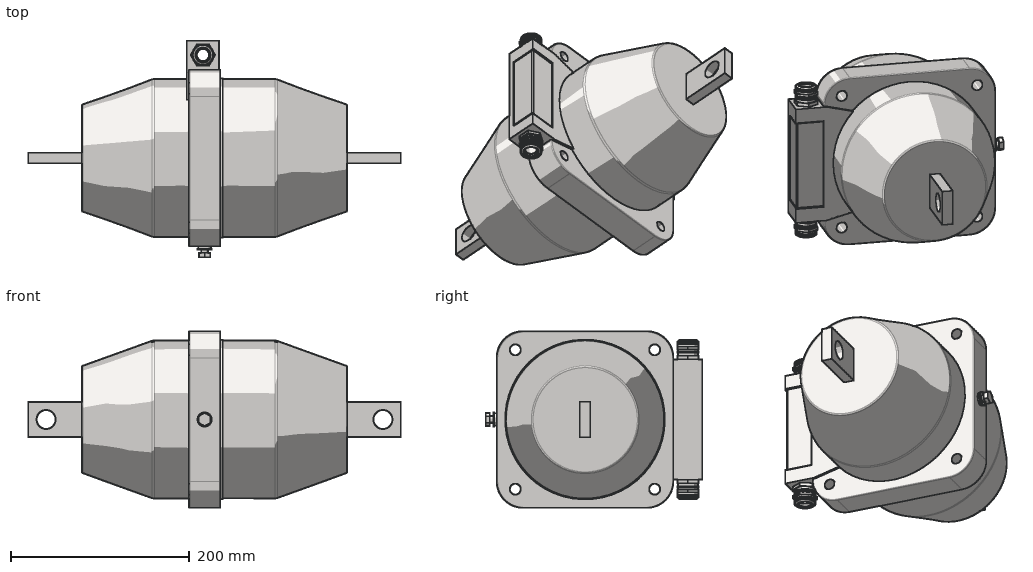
import cadquery as cq
import math

BAR_LENGTH = 417.0
BAR_THICKNESS = 12.0
BAR_HEIGHT = 39.5
BAR_HOLE_DIAMETER = 21.0
BAR_HOLE_END_DISTANCE = 20.0

BODY_LENGTH = 297.0
BODY_RADIUS = 88.5
BODY_END_RADIUS = 59.8
CYLINDER_LENGTH = 138.0
SHOULDER_FILLET = 8.0
END_FILLET = 2.0

FLANGE_SIZE = 198.0
FLANGE_THICKNESS = 35.2
FLANGE_CENTER_X = -11.1
FLANGE_CORNER_RADIUS = 30.0
FLANGE_EDGE_FILLET = 1.0
FLANGE_HOLE_DIAMETER = 12.0
FLANGE_HOLE_SPACING = 156.0
FLANGE_FRONT_X = FLANGE_CENTER_X - FLANGE_THICKNESS / 2
FLANGE_BACK_X = FLANGE_CENTER_X + FLANGE_THICKNESS / 2
COLLAR_RADIUS = BODY_RADIUS + 1.0
COLLAR_THICKNESS = 2.5

BOX_PROUD = 2.5
BOX_THICKNESS = 36.5
BOX_FRONT_X = FLANGE_FRONT_X - BOX_PROUD
BOX_CENTER_X = BOX_FRONT_X + BOX_THICKNESS / 2
BOX_END_Y = 131.5
BOX_HEIGHT = 134.5
BOX_TAPER_START_Y = 96.0
BOX_TAPER_END_Y = 60.0
BOX_TAPER_DROP = 9.0

RECESS_DEPTH = 1.0
RECESS_WALL_SLOPE = 1.2
RECESS_HEIGHT = 102.0
RECESS_WIDTH = 32.0
RECESS_SIDE_LENGTH = 30.0
RECESS_EDGE_CHAMFER = 1.5

GLAND_Y = 115.3
GLAND_HEX_FLATS = 23.6
GLAND_CORE_RADIUS = 11.3
GLAND_RING_RADIUS = 12.0
GLAND_HEIGHT = 21.8
GLAND_HEX_HEIGHT = 4.0
GLAND_RINGS = (
    (7.5, 1.9),
    (14.3, 2.6),
    (18.8, 1.2),
)
GLAND_NUT_START = 11.2
GLAND_NUT_HEIGHT = 3.1
GLAND_TOP_FILLET = 2.5
GLAND_BORE_DIAMETER = 13.5
GLAND_MOUTH_STEPS = (
    (17.0, 2.0),
    (15.2, 5.0),
)

WASHER_DIAMETER = 16.0
WASHER_THICKNESS = 3.5
WASHER_BASE_DIAMETER = 14.5
WASHER_BASE_THICKNESS = 2.5
SCREW_SHANK_DIAMETER = 8.0
SCREW_HEAD_FLATS = 13.0
SCREW_HEAD_HEIGHT = 5.0
SCREW_LENGTH = 12.3


def corner_diameter(across_flats):
    """Circumscribed diameter of a hexagon."""
    return across_flats / math.cos(math.pi / 6)


def make_bar():
    hole_spacing = BAR_LENGTH - 2 * BAR_HOLE_END_DISTANCE
    return (
        cq.Workplane("XZ")
        .rect(BAR_LENGTH, BAR_HEIGHT)
        .pushPoints([(-hole_spacing / 2, 0), (hole_spacing / 2, 0)])
        .circle(BAR_HOLE_DIAMETER / 2)
        .extrude(BAR_THICKNESS / 2, both=True)
    )


def make_body():
    half_length = BODY_LENGTH / 2
    half_cylinder = CYLINDER_LENGTH / 2
    body = (
        cq.Workplane("XZ")
        .moveTo(-half_length, 0)
        .lineTo(-half_length, BODY_END_RADIUS)
        .lineTo(-half_cylinder, BODY_RADIUS)
        .lineTo(half_cylinder, BODY_RADIUS)
        .lineTo(half_length, BODY_END_RADIUS)
        .lineTo(half_length, 0)
        .close()
        .revolve(360, (0, 0, 0), (1, 0, 0))
    )
    for side in (-1, 1):
        shoulder = cq.selectors.NearestToPointSelector((side * half_cylinder, 0, 0))
        body = body.edges("%CIRCLE").edges(shoulder).fillet(SHOULDER_FILLET)
    return body.faces("<X or >X").edges().fillet(END_FILLET)


def make_flange():
    flange = (
        cq.Workplane("YZ", origin=(FLANGE_FRONT_X, 0, 0))
        .rect(FLANGE_SIZE, FLANGE_SIZE)
        .extrude(FLANGE_THICKNESS)
        .edges("|X")
        .fillet(FLANGE_CORNER_RADIUS)
        .faces("<X or >X")
        .edges()
        .fillet(FLANGE_EDGE_FILLET)
    )
    holes = (
        cq.Workplane("YZ", origin=(FLANGE_FRONT_X, 0, 0))
        .rect(FLANGE_HOLE_SPACING, FLANGE_HOLE_SPACING, forConstruction=True)
        .vertices()
        .circle(FLANGE_HOLE_DIAMETER / 2)
        .extrude(FLANGE_THICKNESS)
    )
    collar = (
        cq.Workplane("YZ", origin=(FLANGE_BACK_X, 0, 0))
        .circle(COLLAR_RADIUS)
        .extrude(COLLAR_THICKNESS)
    )
    return flange.cut(holes).union(collar)


def make_label_recess():
    """Volume removed for the label: sloped top and bottom, chamfered along its corner."""
    floor_x = BOX_FRONT_X + RECESS_DEPTH
    floor_y = BOX_END_Y - RECESS_DEPTH
    inner_y = BOX_END_Y - RECESS_WIDTH
    side_x = BOX_FRONT_X + RECESS_SIDE_LENGTH
    recess = (
        cq.Workplane("XY", origin=(0, 0, -RECESS_HEIGHT / 2))
        .moveTo(BOX_FRONT_X, inner_y)
        .lineTo(floor_x, inner_y)
        .lineTo(floor_x, floor_y - RECESS_EDGE_CHAMFER)
        .lineTo(floor_x + RECESS_EDGE_CHAMFER, floor_y)
        .lineTo(side_x, floor_y)
        .lineTo(side_x, BOX_END_Y)
        .lineTo(BOX_FRONT_X, BOX_END_Y)
        .close()
        .extrude(RECESS_HEIGHT)
    )
    half_outer = RECESS_HEIGHT / 2
    half_inner = half_outer - RECESS_WALL_SLOPE
    sloped_limit = (
        cq.Workplane("XZ", origin=(0, BOX_END_Y, 0))
        .moveTo(BOX_FRONT_X, -half_outer)
        .lineTo(floor_x, -half_inner)
        .lineTo(side_x, -half_inner)
        .lineTo(side_x, half_inner)
        .lineTo(floor_x, half_inner)
        .lineTo(BOX_FRONT_X, half_outer)
        .close()
        .extrude(RECESS_WIDTH)
    )
    return recess.intersect(sloped_limit)


def make_box():
    half_height = BOX_HEIGHT / 2
    inner_half_height = half_height - BOX_TAPER_DROP
    box = (
        cq.Workplane("YZ", origin=(BOX_FRONT_X, 0, 0))
        .moveTo(BOX_END_Y, -half_height)
        .lineTo(BOX_END_Y, half_height)
        .lineTo(BOX_TAPER_START_Y, half_height)
        .lineTo(BOX_TAPER_END_Y, inner_half_height)
        .lineTo(BOX_TAPER_END_Y, -inner_half_height)
        .lineTo(BOX_TAPER_START_Y, -half_height)
        .close()
        .extrude(BOX_THICKNESS)
    )
    return box.cut(make_label_recess())


def make_gland():
    """Upper gland, standing on the top face of the box."""
    base = cq.Workplane("XY", origin=(BOX_CENTER_X, GLAND_Y, BOX_HEIGHT / 2))
    hex_diameter = corner_diameter(GLAND_HEX_FLATS)
    gland = base.circle(GLAND_CORE_RADIUS).extrude(GLAND_HEIGHT)
    gland = gland.faces(">Z").edges().fillet(GLAND_TOP_FILLET)
    gland = gland.union(base.polygon(6, hex_diameter).extrude(GLAND_HEX_HEIGHT))
    nut = base.workplane(offset=GLAND_NUT_START).polygon(6, hex_diameter).extrude(GLAND_NUT_HEIGHT)
    gland = gland.union(nut)
    for start, thickness in GLAND_RINGS:
        ring = base.workplane(offset=start).circle(GLAND_RING_RADIUS).extrude(thickness)
        gland = gland.union(ring)
    for diameter, depth in GLAND_MOUTH_STEPS:
        mouth = base.workplane(offset=GLAND_HEIGHT - depth).circle(diameter / 2).extrude(depth)
        gland = gland.cut(mouth)
    return gland


def make_cable_bore():
    """Bore running through both glands and the box."""
    return (
        cq.Workplane("XY", origin=(BOX_CENTER_X, GLAND_Y, 0))
        .circle(GLAND_BORE_DIAMETER / 2)
        .extrude(BOX_HEIGHT / 2 + GLAND_HEIGHT, both=True)
    )


def make_earthing_screw():
    base = cq.Workplane("XZ", origin=(FLANGE_CENTER_X, -FLANGE_SIZE / 2, 0))
    washer_base = base.circle(WASHER_BASE_DIAMETER / 2).extrude(WASHER_BASE_THICKNESS)
    washer = (
        base.workplane(offset=WASHER_BASE_THICKNESS)
        .circle(WASHER_DIAMETER / 2)
        .extrude(WASHER_THICKNESS - WASHER_BASE_THICKNESS)
    )
    shank = base.circle(SCREW_SHANK_DIAMETER / 2).extrude(SCREW_LENGTH)
    head = (
        base.workplane(offset=SCREW_LENGTH - SCREW_HEAD_HEIGHT)
        .transformed(rotate=(0, 0, 90))
        .polygon(6, corner_diameter(SCREW_HEAD_FLATS))
        .extrude(SCREW_HEAD_HEIGHT)
    )
    return washer_base.union(washer).union(shank).union(head)


upper_gland = make_gland()
lower_gland = upper_gland.mirror("XY")

result = make_body().union(make_bar()).union(make_flange()).union(make_box())
result = result.union(upper_gland).union(lower_gland).union(make_earthing_screw())
result = result.cut(make_cable_bore())